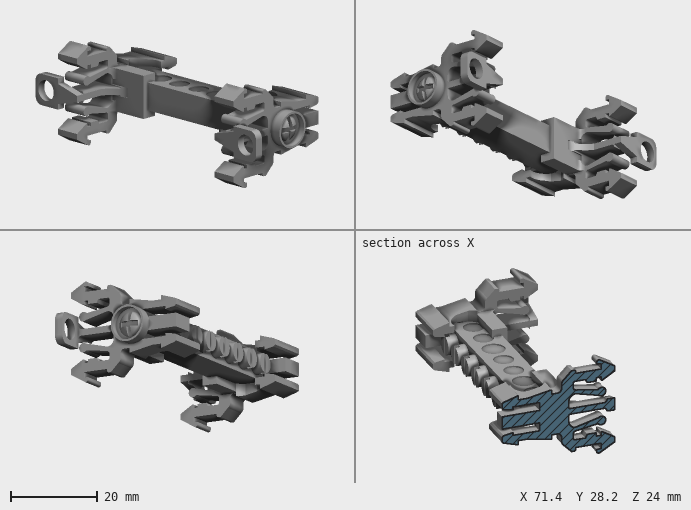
import cadquery as cq
import math


half_length = 35.7
cap_x = 31.3
frame_outer_x = 28.4
frame_inner_x = 22.3
arm_inner_x = 17.4
shoe_inner_x = 12.2
frame_width = frame_outer_x - frame_inner_x

rear_y = 11.5
front_y = -16.7
foot_rear_y = -14.7
bar_rear_y = 5.4
bar_front_y = -3.65
shoe_rear_y = -1.15
shoe_front_y = -4.9

bar_half_height = 3.35
port_count = 7
port_pitch = 6.3
port_y = 0.5 * (bar_rear_y + bar_front_y)
port_radius = 2.4
large_port_radius = 2.8
large_port_indices = (1, 4)
port_depth = 0.35

screw_height = 2.65
screw_collar_height = 0.4
screw_collar_radius = 2.5
screw_top_radius = 2.35
screw_slot_width = 1.1
screw_slot_depth = 1.15

shoe_half_height = 5.2
rib_front_y = -8.85
rib_slot_half_height = 1.2
corner_gusset_radius = 1.35
corner_gusset_low_z = 2.65

barb_front_y = -1.0
arm_relief_x = 18.55
arm_relief_y = 2.3
arm_relief_radius = 4.0
tongue_half_height = 1.65

cap_radius = 4.35
cap_bore_radius = 3.85
cap_bore_depth = 1.7
dome_radius = 3.0
dome_height = 1.3
cross_slot_width_z = 1.3
cross_slot_length_y = 4.65
cross_slot_width_y = 1.1

foot_half_height = 3.8
foot_corner_radius = 1.85
foot_hole_x = 32.3
foot_hole_radius = 2.5
foot_neck_half_height = 2.4
web_half_height = 0.8
web_flare_half_height = 1.4


def box(x_range, y_range, z_range):
    """Box spanning the given (low, high) ranges."""
    size = [high - low for low, high in (x_range, y_range, z_range)]
    return cq.Workplane("XY").box(*size, centered=False).translate((x_range[0], y_range[0], z_range[0]))


def frame_half(x_start, width):
    """Upper half of the frame outline, extruded along X from x_start."""
    rear_web_y = 2.15
    outline = (
        cq.Workplane("YZ", origin=(x_start, 0, 0))
        .moveTo(rear_web_y, 0)
        .lineTo(rear_web_y, 3.6)
        .lineTo(8.7, 3.6)
        .lineTo(8.6, 2.85)
        .lineTo(11.05, 3.3)
        .lineTo(rear_y, 3.7)
        .lineTo(rear_y, 5.0)
        .lineTo(11.05, 5.3)
        .lineTo(7.4, 6.35)
        .lineTo(7.4, 5.3)
        .lineTo(5.1, 5.3)
        .lineTo(-0.65, 6.35)
        .lineTo(barb_front_y, 6.35)
        .lineTo(barb_front_y, 5.3)
        .lineTo(-2.35, 5.3)
        .threePointArc((-3.1, 5.6), (-3.35, 6.3))
        .lineTo(-3.35, 7.3)
        .threePointArc((-3.5, 7.9), (-4.0, 8.5))
        .lineTo(-5.9, 10.4)
        .lineTo(-6.5, 10.4)
        .threePointArc((-6.85, 10.3), (-7.0, 9.9))
        .lineTo(-7.0, 9.6)
        .lineTo(-13.2, 9.6)
        .lineTo(-13.2, 10.85)
        .lineTo(-12.1, 10.85)
        .lineTo(-12.1, 11.4)
        .threePointArc((-12.7, 12.0), (-13.0, 11.9))
        .lineTo(front_y, 9.8)
        .lineTo(front_y, 8.4)
        .lineTo(-13.55, 6.6)
        .lineTo(-13.2, 6.6)
        .lineTo(-13.2, 7.4)
        .lineTo(-12.1, 7.4)
        .lineTo(-12.1, 6.6)
        .lineTo(-9.8, 6.6)
        .lineTo(-9.35, 7.4)
        .lineTo(-6.8, 7.4)
        .threePointArc((-6.5, 7.3), (-6.35, 7.0))
        .lineTo(-6.35, 6.0)
        .tangentArcPoint((-7.0, 5.3), relative=False)
        .lineTo(-12.5, 4.4)
        .threePointArc((-14.5, 3.7), (-12.7, 2.8))
        .lineTo(-7.3, 4.15)
        .threePointArc((-5.85, 3.85), (-5.3, 2.6))
        .lineTo(-5.3, 1.1)
        .threePointArc((-5.35, 0.85), (-5.6, web_half_height))
        .lineTo(-14.05, web_half_height)
        .threePointArc((-14.5, 1.0), (foot_rear_y, web_flare_half_height))
        .lineTo(front_y, web_flare_half_height)
        .lineTo(front_y, 0)
        .close()
    )
    return outline.extrude(width)


def frame_profile(x_start, width):
    """Full frame outline, extruded along X from x_start."""
    upper = frame_half(x_start, width)
    return upper.union(upper.mirror("XY"))


def rear_arms():
    """Frame outline carried inward behind the shoe, with a round relief for the first clamp screw."""
    x_range = (-frame_inner_x, -arm_inner_x)
    arms = frame_profile(-frame_inner_x, frame_inner_x - arm_inner_x)
    keep = box(x_range, (barb_front_y, rear_y), (-half_length, half_length))
    relief = (
        cq.Workplane("XY", origin=(-arm_relief_x, arm_relief_y, -half_length))
        .circle(arm_relief_radius)
        .extrude(2 * half_length)
    )
    return arms.intersect(keep).cut(relief)


def rib_front_space():
    """Space in front of the curved rib, as high as its slot in the shoe."""
    return (
        cq.Workplane("XY", origin=(0, 0, -rib_slot_half_height))
        .moveTo(-frame_inner_x, rib_front_y)
        .threePointArc((-20.3, -6.1), (-arm_inner_x, -4.4))
        .lineTo(-arm_inner_x, front_y)
        .lineTo(-frame_inner_x, front_y)
        .close()
        .extrude(2 * rib_slot_half_height)
    )


def gussets():
    """Curved middle rib and the two corner fillets between frame and shoe."""
    x_range = (-frame_inner_x, -arm_inner_x)
    z_range = (-rib_slot_half_height, rib_slot_half_height)
    rib = box(x_range, (rib_front_y, shoe_front_y), z_range).cut(rib_front_space())
    radius = corner_gusset_radius
    corner = (
        cq.Workplane("XY", origin=(0, 0, corner_gusset_low_z))
        .moveTo(-frame_inner_x, shoe_front_y)
        .lineTo(-frame_inner_x + radius, shoe_front_y)
        .radiusArc((-frame_inner_x, shoe_front_y - radius), -radius)
        .close()
        .extrude(shoe_half_height - corner_gusset_low_z)
    )
    blanks = rib.union(corner).union(corner.mirror("XY"))
    return blanks.intersect(frame_profile(-frame_inner_x, frame_width))


def shoe():
    """Block around the end of the bar, slotted for the middle rib."""
    x_range = (-frame_inner_x, -shoe_inner_x)
    block = box(x_range, (shoe_front_y, shoe_rear_y), (-shoe_half_height, shoe_half_height))
    return block.cut(rib_front_space())


def foot():
    """Screw ear that narrows into the middle web."""
    thickness = foot_rear_y - front_y
    ear = box(
        (-half_length, -frame_outer_x),
        (front_y, foot_rear_y),
        (-foot_half_height, foot_half_height),
    )
    ear = ear.edges("|Y and <X").fillet(foot_corner_radius)
    neck = (
        cq.Workplane("XZ", origin=(0, foot_rear_y, 0))
        .moveTo(-frame_outer_x, foot_neck_half_height)
        .lineTo(-frame_inner_x, web_half_height)
        .lineTo(-frame_inner_x, -web_half_height)
        .lineTo(-frame_outer_x, -foot_neck_half_height)
        .close()
        .extrude(thickness)
    )
    hole = (
        cq.Workplane("XZ", origin=(-foot_hole_x, foot_rear_y, 0))
        .circle(foot_hole_radius)
        .extrude(thickness)
    )
    return ear.union(neck).cut(hole)


def cap():
    """Round cup on the outer face, with a domed cross-slotted screw inside."""
    floor_x = -cap_x + cap_bore_depth
    cup = (
        cq.Workplane("YZ", origin=(-cap_x, 0, 0))
        .circle(cap_radius)
        .extrude(cap_x - frame_outer_x)
        .cut(cq.Workplane("YZ", origin=(-cap_x, 0, 0)).circle(cap_bore_radius).extrude(cap_bore_depth))
    )
    half_chord = 0.5 * dome_radius
    sphere_radius = (dome_radius**2 + dome_height**2) / (2 * dome_height)
    mid_height = dome_height - sphere_radius + math.sqrt(sphere_radius**2 - half_chord**2)
    dome = (
        cq.Workplane("XY")
        .moveTo(floor_x, 0)
        .lineTo(floor_x, dome_radius)
        .threePointArc((floor_x - mid_height, half_chord), (floor_x - dome_height, 0))
        .close()
        .revolve(360, (0, 0, 0), (1, 0, 0))
    )
    slot_x = (floor_x - dome_height, floor_x)
    half_length_y = 0.5 * cross_slot_length_y
    half_width_y = 0.5 * cross_slot_width_y
    half_width_z = 0.5 * cross_slot_width_z
    dome = dome.cut(box(slot_x, (-half_length_y, half_length_y), (-half_width_z, half_width_z)))
    dome = dome.cut(box(slot_x, (-half_width_y, half_width_y), (-dome_radius, dome_radius)))
    return cup.union(dome)


def bracket():
    """Complete end bracket at the -X end."""
    tongue = box(
        (-frame_outer_x, -frame_inner_x),
        (0, rear_y),
        (-tongue_half_height, tongue_half_height),
    )
    body = frame_profile(-frame_outer_x, frame_width)
    foot_zone = box(
        (-frame_outer_x, -frame_inner_x),
        (front_y, foot_rear_y),
        (-web_flare_half_height, web_flare_half_height),
    )
    body = body.cut(foot_zone)
    for feature in (tongue, rear_arms(), shoe(), gussets(), foot(), cap()):
        body = body.union(feature)
    return body


def clamp_screw(x):
    """Slotted screw head standing on the rear face of the bar."""
    top_y = bar_rear_y + screw_height
    head = (
        cq.Workplane("XY")
        .moveTo(0, bar_rear_y)
        .lineTo(screw_collar_radius, bar_rear_y)
        .lineTo(screw_collar_radius, bar_rear_y + screw_collar_height)
        .lineTo(screw_top_radius, top_y)
        .lineTo(0, top_y)
        .close()
        .revolve(360, (0, 0, 0), (0, 1, 0))
    )
    half_slot = 0.5 * screw_slot_width
    slot = box(
        (-half_slot, half_slot),
        (top_y - screw_slot_depth, top_y),
        (-screw_collar_radius, screw_collar_radius),
    )
    return head.cut(slot).translate((x, 0, 0))


def terminal_bar():
    """Square bar with a row of shallow ports on top and a clamp screw behind each."""
    bar = box(
        (-frame_inner_x, frame_inner_x),
        (bar_front_y, bar_rear_y),
        (-bar_half_height, bar_half_height),
    )
    for index in range(port_count):
        x = (index - (port_count - 1) / 2) * port_pitch
        radius = large_port_radius if index in large_port_indices else port_radius
        port = (
            cq.Workplane("XY", origin=(x, port_y, bar_half_height - port_depth))
            .circle(radius)
            .extrude(port_depth)
        )
        bar = bar.union(clamp_screw(x)).cut(port)
    return bar


left_bracket = bracket()
result = left_bracket.union(left_bracket.mirror("YZ")).union(terminal_bar())